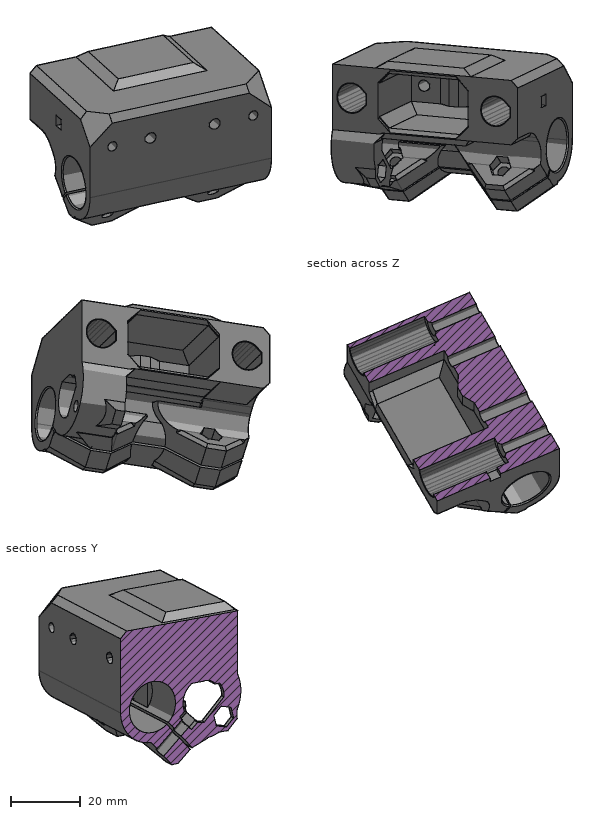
import cadquery as cq
import math


BLOCK_WIDTH = 39.2
BLOCK_LENGTH = 58.0
FRONT_Y = -BLOCK_LENGTH / 2
BACK_Y = BLOCK_LENGTH / 2
TOP_CHAMFER = 2.05
CORNER_NORMAL_Y = 0.87
CORNER_OFFSET = 56.2
LOWEST_Z = -42.89
HALF_SPACE = 200.0
OVERSHOOT = 10.0

FACE_CENTER_Y = 0.65
PAD_HEIGHT = 1.9
PAD_WIDTH = 24.5
PAD_LENGTH = 29.9
PAD_SIDE_SLOPE = 3.0
PAD_FACE_SLOPE = 1.85

BEARING_X = 28.5
BEARING_Z = -24.4
TUBE_RADIUS = BLOCK_WIDTH - BEARING_X
BORE_RADIUS = 7.6
BORE_CHAMFER = 0.4
STOP_LENGTH = 8.0
STOP_WALL_X = 22.55
STOP_SLOPE_POINTS = ((30.75, -16.9), (36.0, -24.6))
CLAMP_ANGLE = 48.6
SLOT_GAP = 0.65
TAB_REACH = 19.5
TAB_CENTER_Y = 16.9
TAB_TIP_WIDTH = 6.26
TAB_FLANK_SPREAD = 1.0
TAB_BOTTOM_SPREAD = 1.26
LOWER_JAW = 7.4
SCREW_BEYOND_PASSAGE = 0.15
TAB_CHAMFER = 1.0
SCREW_DIAMETER = 3.3
NUT_CORNERS = 6.65
NUT_DEPTH = 3.0

BARREL_X = 11.45
BARREL_Z = -24.3
BARREL_RADIUS = 12.51
BARREL_START_Y = 15.6
BARREL_LIP = 3.05
BARREL_BORE_RADIUS = 13.5 / 2
BORE_TOP_FLAT = 4.8
BORE_SIDE_FLAT = 5.4
PASSAGE_X = 10.74
PASSAGE_Z = -25.0
PASSAGE_RADIUS = 6.0
MOUTH_ARC_X = 7.7
MOUTH_ARC_RADIUS = PASSAGE_RADIUS + (PASSAGE_X - MOUTH_ARC_X) / math.sqrt(2)
MOUTH_CEILING_Z = PASSAGE_Z + MOUTH_ARC_RADIUS
CEILING_STEP = 2.05
FRONT_CEILING_Z = MOUTH_CEILING_Z - CEILING_STEP
MIDDLE_CEILING_Z = FRONT_CEILING_Z - CEILING_STEP
FRONT_CEILING_END_Y = -13.8
MIDDLE_START_Y = FRONT_CEILING_END_Y + CEILING_STEP
CEILING_ARCH_X = 7.6

WEB_LEFT = 10.13
WEB_LOW_Z = -36.9
WEB_HIGH_Z = -35.2
WEB_BACK_Y = 26.6

BOSS_LEFT = 0.2
BOSS_SCREW_X = 4.75
BOSS_SCREW_Z = -31.2
BOSS_TOP_Z = -27.0
BOSS_BOTTOM_Z = -35.7
BOSS_BEVEL = 3.15
BOSS_BACK_Y = 18.5
BOSS_BACK_NORMAL_Y = 0.81
BOSS_NUT_TURN = 15.0

FACE_BORE_Z = -9.5
FACE_BORE_SPACING = 45.0
COUNTERBORE_RADIUS = 4.3
COUNTERBORE_FACETS = 24
COUNTERBORE_MOUTH_CHAMFER = 0.15
COUNTERBORE_DEPTH = 24.0
CONE_RADIUS = 2.4
FACE_SCREW_RADIUS = 1.45
CONE_DEPTH = CONE_RADIUS - FACE_SCREW_RADIUS
TEARDROP_REACH = 1.07
POCKET_LENGTH = 28.3
POCKET_HEIGHT = 16.0
POCKET_CORNER = 3.1
POCKET_MOUTH_LIP = 1.1
POCKET_DEPTH = 24.0
POCKET_BACK_HEIGHT = 9.8
RIDGE_BASE = 10.2
RIDGE_TOP = 3.1
RIDGE_HEIGHT = 2.0
POCKET_HOLE_SPACING = 20.5
WINDOW_SIZE = 3.3
WINDOW_X = 18.7

ANGLE = math.radians(CLAMP_ANGLE)
SLOT_DIR = (-math.cos(ANGLE), -math.sin(ANGLE))
UPPER_DIR = (-math.sin(ANGLE), math.cos(ANGLE))
COS45 = math.cos(math.radians(45))
UPPER_JAW = ((PASSAGE_X - BEARING_X) * UPPER_DIR[0] + (PASSAGE_Z - BEARING_Z) * UPPER_DIR[1]
             - PASSAGE_RADIUS)
PASSAGE_REACH = ((PASSAGE_X - BEARING_X) * SLOT_DIR[0] + (PASSAGE_Z - BEARING_Z) * SLOT_DIR[1])
SCREW_REACH = PASSAGE_REACH + SCREW_BEYOND_PASSAGE


def section(y_start):
    """Workplane across the part at y_start, drawn in X and Z, extruding toward -Y."""
    return cq.Workplane("XZ", origin=(0, y_start, 0))


def prism_y(points, y_start, y_end):
    return section(y_end).polyline(points).close().extrude(y_end - y_start)


def rod_y(x, z, radius, y_start, y_end):
    return section(y_end).center(x, z).circle(radius).extrude(y_end - y_start)


def prism_x(points, x_start, x_end):
    """Prism along X from an outline given in Y and Z."""
    return cq.Workplane("YZ", origin=(x_start, 0, 0)).polyline(points).close().extrude(x_end - x_start)


def box(x_range, y_range, z_range):
    sizes = [high - low for low, high in (x_range, y_range, z_range)]
    return cq.Workplane("XY").box(*sizes, centered=False).translate((x_range[0], y_range[0], z_range[0]))


def beyond_plane(point, normal):
    """Large block filling the side of a plane that its normal points to."""
    plane = cq.Plane(origin=point, normal=normal)
    return cq.Workplane(plane).rect(HALF_SPACE, HALF_SPACE).extrude(HALF_SPACE)


def clamp_point(reach, height):
    """X, Z of a point given along the slot and square to it."""
    return (BEARING_X + reach * SLOT_DIR[0] + height * UPPER_DIR[0],
            BEARING_Z + reach * SLOT_DIR[1] + height * UPPER_DIR[1])


def clamp_plane(height):
    """Workplane parallel to the slot: local x along the slot, normal toward the upper jaw."""
    x, z = clamp_point(0, height)
    return cq.Workplane(cq.Plane(origin=(x, 0, z), xDir=(SLOT_DIR[0], 0, SLOT_DIR[1]),
                                 normal=(UPPER_DIR[0], 0, UPPER_DIR[1])))


def make_block():
    block = box((0, BLOCK_WIDTH), (FRONT_Y, BACK_Y), (BEARING_Z, 0))
    block = block.faces(">Z").edges(">X or <Y").chamfer(TOP_CHAMFER)
    for side in (-1, 1):
        bevel = beyond_plane((CORNER_OFFSET, 0, 0), (1, side * CORNER_NORMAL_Y, 1))
        block = block.cut(bevel)
    return block.union(rod_y(BEARING_X, BEARING_Z, TUBE_RADIUS, FRONT_Y, BACK_Y))


def make_pad():
    y_low = FACE_CENTER_Y - PAD_LENGTH / 2
    y_high = FACE_CENTER_Y + PAD_LENGTH / 2
    along_y = prism_x([(y_low, 0), (y_high, 0), (y_high - PAD_SIDE_SLOPE, PAD_HEIGHT),
                       (y_low + PAD_SIDE_SLOPE, PAD_HEIGHT)], 0, PAD_WIDTH)
    along_x = prism_y([(0, 0), (PAD_WIDTH, 0), (PAD_WIDTH - PAD_SIDE_SLOPE, PAD_HEIGHT),
                       (PAD_FACE_SLOPE, PAD_HEIGHT)], y_low, y_high)
    return along_y.intersect(along_x)


def make_passage_outline():
    """Front rod passage: mouth arc, 45 degree run, round wall, then the upper jaw face."""
    wall_end = (PASSAGE_X - PASSAGE_RADIUS * UPPER_DIR[0], PASSAGE_Z - PASSAGE_RADIUS * UPPER_DIR[1])
    far_end = clamp_point(TAB_REACH + OVERSHOOT, UPPER_JAW)
    half = math.radians(22.5)
    return (section(BARREL_START_Y)
            .moveTo(-OVERSHOOT, MOUTH_CEILING_Z)
            .lineTo(MOUTH_ARC_X, MOUTH_CEILING_Z)
            .threePointArc((MOUTH_ARC_X + MOUTH_ARC_RADIUS * math.sin(half),
                            PASSAGE_Z + MOUTH_ARC_RADIUS * math.cos(half)),
                           (MOUTH_ARC_X + MOUTH_ARC_RADIUS * COS45, PASSAGE_Z + MOUTH_ARC_RADIUS * COS45))
            .lineTo(PASSAGE_X + PASSAGE_RADIUS * COS45, PASSAGE_Z + PASSAGE_RADIUS * COS45)
            .threePointArc((PASSAGE_X + PASSAGE_RADIUS, PASSAGE_Z), wall_end)
            .lineTo(*far_end)
            .lineTo(-OVERSHOOT, far_end[1])
            .close()
            .extrude(BARREL_START_Y - FRONT_Y))


def make_passage_envelope():
    """Side outline of the passage: its ceiling steps down from the front toward the barrel."""
    low = LOWEST_Z - OVERSHOOT
    return prism_x([(FRONT_Y, low), (FRONT_Y, MOUTH_CEILING_Z),
                    (FRONT_Y + CEILING_STEP, FRONT_CEILING_Z),
                    (FRONT_CEILING_END_Y, FRONT_CEILING_Z),
                    (MIDDLE_START_Y, MIDDLE_CEILING_Z),
                    (BARREL_START_Y, MIDDLE_CEILING_Z), (BARREL_START_Y, low)],
                   -OVERSHOOT, BLOCK_WIDTH)


def make_entry_bevel():
    """Bevel under the left face, ending in a ramp down to the barrel."""
    edge_z = FRONT_CEILING_Z
    bevel = prism_y([(-OVERSHOOT, edge_z), (0, edge_z), (CEILING_STEP, MIDDLE_CEILING_Z),
                     (-OVERSHOOT, MIDDLE_CEILING_Z)], FRONT_CEILING_END_Y, BARREL_START_Y)
    ramp = prism_x([(FRONT_CEILING_END_Y, edge_z), (BARREL_START_Y - CEILING_STEP, edge_z),
                    (BARREL_START_Y, MIDDLE_CEILING_Z), (MIDDLE_START_Y, MIDDLE_CEILING_Z)],
                   -OVERSHOOT, BLOCK_WIDTH)
    return bevel.intersect(ramp)


def make_rod_bore(y_start):
    """Wide rod bore with a flat roof that arches down toward the left."""
    bore = rod_y(BARREL_X, PASSAGE_Z, BARREL_BORE_RADIUS, y_start, BACK_Y)
    roof_z = BARREL_Z + BORE_TOP_FLAT
    arch_x = BARREL_X - CEILING_ARCH_X
    arch_mid = (BARREL_X - arch_x * COS45, roof_z - (roof_z - MIDDLE_CEILING_Z) * (1 - COS45))
    floor_z = BARREL_Z - BARREL_RADIUS
    envelope = (section(BACK_Y)
                .moveTo(-OVERSHOOT, MIDDLE_CEILING_Z)
                .lineTo(CEILING_ARCH_X, MIDDLE_CEILING_Z)
                .threePointArc(arch_mid, (BARREL_X, roof_z))
                .lineTo(BLOCK_WIDTH, roof_z)
                .lineTo(BLOCK_WIDTH, floor_z)
                .lineTo(-OVERSHOOT, floor_z)
                .close()
                .extrude(BLOCK_LENGTH))
    bore = bore.intersect(envelope)
    flat_point = (BARREL_X - BORE_SIDE_FLAT * COS45, 0, BARREL_Z - BORE_SIDE_FLAT * COS45)
    return bore.cut(beyond_plane(flat_point, (-1, 0, -1)))


def tab_outline(plane, center_y, reach):
    """Tab plan: flanks narrowing to the tip, cut off at the given reach."""
    tip_half = TAB_TIP_WIDTH / 2
    half = tip_half + (TAB_REACH - reach) * TAB_FLANK_SPREAD
    root_half = tip_half + TAB_REACH * TAB_FLANK_SPREAD
    local_y = -center_y
    return plane.polyline([(0, local_y - root_half), (reach, local_y - half),
                           (reach, local_y + half), (0, local_y + root_half)]).close()


def make_tab_limits(center_y, root_top):
    """Side outline of a tab: lower flanks that rise from the flat bottom."""
    tip_half = TAB_TIP_WIDTH / 2
    rise = root_top - LOWEST_Z
    top_half = tip_half + rise * TAB_BOTTOM_SPREAD
    flanks = prism_x([(center_y - tip_half, LOWEST_Z), (center_y + tip_half, LOWEST_Z),
                      (center_y + top_half, root_top), (center_y - top_half, root_top)],
                     0, BLOCK_WIDTH)
    return flanks.intersect(box((0, BLOCK_WIDTH), (FRONT_Y, BACK_Y), (LOWEST_Z, root_top)))


def make_tab(center_y, root_top):
    jaws = tab_outline(clamp_plane(-LOWER_JAW), center_y, TAB_REACH).extrude(LOWER_JAW + UPPER_JAW)
    jaw_face = cq.selectors.DirectionMinMaxSelector(cq.Vector(UPPER_DIR[0], 0, UPPER_DIR[1]))
    jaws = jaws.faces(jaw_face).chamfer(TAB_CHAMFER)
    root = tab_outline(clamp_plane(0), center_y, PASSAGE_REACH).extrude(BEARING_X - PASSAGE_X)
    return jaws.union(root).intersect(make_tab_limits(center_y, root_top))


def web_flank(tip_y, barrel_y, side):
    """Material beyond a web flank running from the tab tip to the barrel, square to the slot."""
    tip_x, tip_z = clamp_point(TAB_REACH, 0)
    run = cq.Vector(WEB_LEFT - tip_x, barrel_y - tip_y, WEB_LOW_Z - tip_z)
    normal = run.cross(cq.Vector(UPPER_DIR[0], 0, UPPER_DIR[1]))
    if normal.y * side < 0:
        normal = -normal
    return beyond_plane((tip_x, tip_y, tip_z), normal)


def make_web():
    """Extension of the rear tab tip that joins the upper jaw to the barrel."""
    tip_low = TAB_CENTER_Y - TAB_TIP_WIDTH / 2
    tip_high = TAB_CENTER_Y + TAB_TIP_WIDTH / 2
    web = prism_y([(WEB_LEFT, WEB_LOW_Z), clamp_point(TAB_REACH, 0),
                   clamp_point(TUBE_RADIUS, 0), clamp_point(TUBE_RADIUS, UPPER_JAW / 2),
                   (WEB_LEFT, WEB_HIGH_Z)],
                  tip_low, BACK_Y)
    web = web.cut(web_flank(tip_low, BARREL_START_Y, -1))
    return web.cut(web_flank(tip_high, WEB_BACK_Y, 1))


def make_barrel():
    """Barrel whose front end leans forward above the bore."""
    lip_start = BARREL_START_Y - BARREL_LIP
    lip = rod_y(BARREL_X, BARREL_Z, BARREL_RADIUS, lip_start, BARREL_START_Y)
    lip_shape = prism_x([(lip_start, FRONT_CEILING_Z), (BARREL_START_Y, FRONT_CEILING_Z),
                         (BARREL_START_Y, FRONT_CEILING_Z - BARREL_LIP)], -OVERSHOOT, BARREL_X)
    barrel = rod_y(BARREL_X, BARREL_Z, BARREL_RADIUS, BARREL_START_Y, BACK_Y)
    return barrel.union(lip.intersect(lip_shape)).cut(make_rod_bore(lip_start))


def make_boss():
    right = BARREL_X
    boss = prism_y([(BOSS_LEFT, BOSS_TOP_Z), (BOSS_LEFT, BOSS_BOTTOM_Z + BOSS_BEVEL),
                    (BOSS_LEFT + BOSS_BEVEL, BOSS_BOTTOM_Z), (right, BOSS_BOTTOM_Z),
                    (right, BOSS_TOP_Z)], BARREL_START_Y, BACK_Y)
    edge = (BOSS_LEFT, BOSS_BACK_Y, BOSS_BOTTOM_Z + BOSS_BEVEL)
    return boss.cut(beyond_plane(edge, (-1, BOSS_BACK_NORMAL_Y, -1)))


def cut_boss_screw(body):
    hole = rod_y(BOSS_SCREW_X, BOSS_SCREW_Z, SCREW_DIAMETER / 2, BARREL_START_Y, BACK_Y)
    nut = (section(BARREL_START_Y + NUT_DEPTH).center(BOSS_SCREW_X, BOSS_SCREW_Z)
           .transformed(rotate=(0, 0, BOSS_NUT_TURN)).polygon(6, NUT_CORNERS).extrude(NUT_DEPTH))
    return body.cut(hole).cut(nut)


def cut_bearing_bore(body):
    bore = rod_y(BEARING_X, BEARING_Z, BORE_RADIUS, FRONT_Y, BACK_Y)
    stop = rod_y(BEARING_X, BEARING_Z, BORE_RADIUS, -STOP_LENGTH / 2, STOP_LENGTH / 2)
    left = stop.cut(beyond_plane((STOP_WALL_X, 0, 0), (1, 0, 0)))
    (x_top, z_top), (x_side, z_side) = STOP_SLOPE_POINTS
    right = stop.cut(beyond_plane((x_top, 0, z_top), (z_side - z_top, 0, x_top - x_side)))
    body = body.cut(bore.cut(left).cut(right))
    for end_y, direction in ((FRONT_Y, 1), (BACK_Y, -1)):
        cone = cq.Solid.makeCone(BORE_RADIUS + BORE_CHAMFER, BORE_RADIUS, BORE_CHAMFER,
                                 cq.Vector(BEARING_X, end_y, BEARING_Z), cq.Vector(0, direction, 0))
        body = body.cut(cq.Workplane(cone))
    slot = (clamp_plane(-SLOT_GAP / 2).center((TAB_REACH + OVERSHOOT) / 2, 0)
            .rect(TAB_REACH + OVERSHOOT, BLOCK_LENGTH).extrude(SLOT_GAP))
    return body.cut(slot)


def cut_clamp_screws(body):
    for center_y in (-TAB_CENTER_Y, TAB_CENTER_Y):
        hole = (clamp_plane(-LOWER_JAW - OVERSHOOT).center(SCREW_REACH, -center_y)
                .circle(SCREW_DIAMETER / 2).extrude(LOWER_JAW + OVERSHOOT + UPPER_JAW))
        nut = (clamp_plane(UPPER_JAW - NUT_DEPTH).center(SCREW_REACH, -center_y)
               .transformed(rotate=(0, 0, 90)).polygon(6, NUT_CORNERS).extrude(2 * NUT_DEPTH))
        body = body.cut(hole).cut(nut)
    return body


def teardrop(x_start, x_end, y, radius, facets=0):
    """Hole along X whose -Y side comes to a blunt 45 degree tip."""
    tangent = radius * COS45
    reach = radius * TEARDROP_REACH
    tip_half = radius * math.sqrt(2) - reach
    tip = prism_x([(y, FACE_BORE_Z), (y - tangent, FACE_BORE_Z + tangent),
                   (y - reach, FACE_BORE_Z + tip_half), (y - reach, FACE_BORE_Z - tip_half),
                   (y - tangent, FACE_BORE_Z - tangent)], x_start, x_end)
    plane = cq.Workplane("YZ", origin=(x_start, y, FACE_BORE_Z))
    outline = plane.polygon(facets, 2 * radius) if facets else plane.circle(radius)
    rod = outline.extrude(x_end - x_start)
    return rod.union(tip)


def cut_face_bores(body):
    for side in (-1, 1):
        y = FACE_CENTER_Y + side * FACE_BORE_SPACING / 2
        body = body.cut(teardrop(0, COUNTERBORE_DEPTH, y, COUNTERBORE_RADIUS, COUNTERBORE_FACETS))
        body = body.cut(teardrop(0, COUNTERBORE_MOUTH_CHAMFER, y,
                                 COUNTERBORE_RADIUS + COUNTERBORE_MOUTH_CHAMFER))
        screw = (cq.Workplane("YZ", origin=(0, y, FACE_BORE_Z))
                 .circle(FACE_SCREW_RADIUS).extrude(BLOCK_WIDTH))
        cone = cq.Solid.makeCone(CONE_RADIUS, FACE_SCREW_RADIUS, CONE_DEPTH,
                                 cq.Vector(COUNTERBORE_DEPTH, y, FACE_BORE_Z), cq.Vector(1, 0, 0))
        body = body.cut(screw).cut(cq.Workplane(cone))
    return body


def cut_window(body):
    """Square window from the front face into the front counterbore."""
    half = WINDOW_SIZE / 2
    bore_y = FACE_CENTER_Y - FACE_BORE_SPACING / 2
    return body.cut(box((WINDOW_X - half, WINDOW_X + half), (FRONT_Y, bore_y),
                        (FACE_BORE_Z - half, FACE_BORE_Z + half)))


def cut_pocket(body):
    half_height = POCKET_HEIGHT / 2
    back_half = POCKET_BACK_HEIGHT / 2
    slope = half_height - back_half
    y_low = FACE_CENTER_Y - POCKET_LENGTH / 2
    y_high = FACE_CENTER_Y + POCKET_LENGTH / 2
    pocket = box((0, POCKET_DEPTH), (y_low, y_high),
                 (FACE_BORE_Z - half_height, FACE_BORE_Z + half_height))
    pocket = pocket.edges("|X").chamfer(POCKET_CORNER)
    side = prism_y([(0, FACE_BORE_Z - half_height), (POCKET_DEPTH - slope, FACE_BORE_Z - half_height),
                    (POCKET_DEPTH, FACE_BORE_Z - back_half), (POCKET_DEPTH, FACE_BORE_Z + back_half),
                    (POCKET_DEPTH - slope, FACE_BORE_Z + half_height), (0, FACE_BORE_Z + half_height)],
                   y_low, y_high)
    ridge = (cq.Workplane("XY", origin=(0, FACE_CENTER_Y, FACE_BORE_Z - back_half))
             .polyline([(POCKET_DEPTH, -RIDGE_BASE / 2), (POCKET_DEPTH - RIDGE_HEIGHT, -RIDGE_TOP / 2),
                        (POCKET_DEPTH - RIDGE_HEIGHT, RIDGE_TOP / 2), (POCKET_DEPTH, RIDGE_BASE / 2)])
             .close().extrude(POCKET_BACK_HEIGHT))
    mouth_height = POCKET_HEIGHT + 2 * POCKET_MOUTH_LIP
    lip_corner = POCKET_CORNER + POCKET_MOUTH_LIP * COS45
    lip = (cq.Workplane("YZ", origin=(0, FACE_CENTER_Y, FACE_BORE_Z))
           .rect(POCKET_LENGTH, mouth_height).extrude(POCKET_MOUTH_LIP)
           .edges("|X").chamfer(lip_corner))
    lip_profile = prism_y([(0, FACE_BORE_Z - mouth_height / 2), (POCKET_MOUTH_LIP, FACE_BORE_Z - half_height),
                           (POCKET_MOUTH_LIP, FACE_BORE_Z + half_height),
                           (0, FACE_BORE_Z + mouth_height / 2)],
                          y_low, y_high)
    body = body.cut(pocket.intersect(side).cut(ridge)).cut(lip.intersect(lip_profile))
    for side_sign in (-1, 1):
        y = FACE_CENTER_Y + side_sign * POCKET_HOLE_SPACING / 2
        body = body.cut(teardrop(POCKET_DEPTH, BLOCK_WIDTH, y, SCREW_DIAMETER / 2))
    return body


def make_body():
    passage = make_passage_outline().intersect(make_passage_envelope())
    body = make_block()
    open_side = box((-OVERSHOOT, BARREL_X), (FRONT_CEILING_END_Y, BARREL_START_Y),
                    (BEARING_Z - OVERSHOOT, MIDDLE_CEILING_Z))
    body = body.cut(make_rod_bore(FRONT_CEILING_END_Y)).cut(open_side)
    body = body.union(make_tab(-TAB_CENTER_Y, MIDDLE_CEILING_Z))
    body = body.union(make_tab(TAB_CENTER_Y, PASSAGE_Z))
    body = body.cut(passage).cut(make_entry_bevel())
    barrel = make_barrel().union(make_boss()).union(make_web())
    body = body.union(barrel).cut(make_rod_bore(BARREL_START_Y))
    return body.union(make_pad())


result = make_body()
result = cut_boss_screw(result)
result = cut_bearing_bore(result)
result = cut_clamp_screws(result)
result = cut_face_bores(result)
result = cut_window(result)
result = cut_pocket(result)